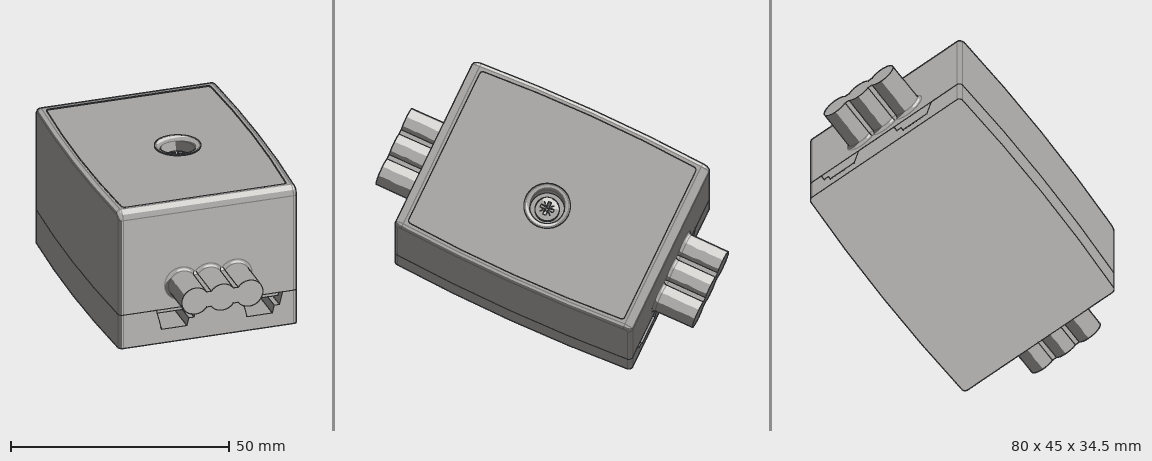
import cadquery as cq
import math

body_length = 60.0
body_height = 34.5
body_width = 45.0
side_bulge = 1.0
split_z = 8.5
end_edge_radius = 2.0
side_edge_radius = 1.0

panel_depth = 0.25
panel_end_margin = 2.7
panel_side_margin = 1.7
panel_corner_radius = 0.8

screw_y = 2.75
rim_diameter = 10.67
well_diameter = 8.0
well_lip_radius = 1.0
well_depth = 3.7
well_floor_z = body_height - well_depth

head_diameter = 5.6
head_rim_height = 0.8
head_dome_height = 0.8
head_top_z = well_floor_z + head_rim_height + head_dome_height
dome_radius = ((head_diameter / 2) ** 2 + head_dome_height**2) / (2 * head_dome_height)
shank_diameter = 3.0
shank_tip_z = 3.5
cross_span = 3.75
cross_floor_span = 0.6
cross_arm_width = 0.75
cross_depth = 1.6
tick_inner_radius = 1.05
tick_outer_radius = 1.7
tick_width = 0.06
tick_depth = 0.15

overall_length = 80.0
cable_diameter = 6.75
cable_pitch = 6.5
cable_z = 14.5
cable_web_width = 2.6
cable_web_height = 4.0
cable_taper = 0.08
cable_root_radius = 0.7
stub_length = (overall_length - body_length) / 2

channel_floor_z = 3.5
channel_step_z = 5.4
channel_step_width = 1.25
channel_top_y = (7.35, 17.95)
channel_pitch = 20.65
channel_offsets = (0.0, -channel_pitch)
channel_narrowing = 0.75
wall_slope = 0.25

tongue_bottom_z = 6.75
tongue_inset = 2.0
pin_y = (10.4, 14.0)
pin_diameter = 0.3
pin_collar_diameter = 0.9
pin_collar_height = 0.45
pin_tip_z = 4.9


def bulged_outline(length, width, bulge):
    """Rectangle whose two long sides are bowed outward."""
    x = length / 2
    crown = width / 2
    corner = crown - bulge
    return (
        cq.Workplane("XY")
        .moveTo(-x, -corner)
        .threePointArc((0, -crown), (x, -corner))
        .lineTo(x, corner)
        .threePointArc((0, crown), (-x, corner))
        .close()
    )


def box_between(x_range, y_range, z_range):
    """Box spanning the given (low, high) ranges."""
    ranges = (x_range, y_range, z_range)
    sizes = [high - low for low, high in ranges]
    corner = [low for low, high in ranges]
    return cq.Workplane("XY").box(*sizes, centered=False).translate(tuple(corner))


def build_enclosure_block():
    """Outer form shared by the base and the cover."""
    block = bulged_outline(body_length, body_width, side_bulge).extrude(body_height)
    block = block.faces(">Z").edges("|Y").fillet(end_edge_radius)
    side_edges = block.edges("not(|Y)").edges("not(<Z)")
    return side_edges.fillet(side_edge_radius)


def build_channel(offset_y):
    """Stepped channel, tapering slightly in plan toward +X."""

    def profile(narrowing):
        low_y = channel_top_y[0] + offset_y
        high_y = channel_top_y[1] + offset_y
        floor_lean = wall_slope * (split_z - channel_floor_z)
        step_lean = wall_slope * (split_z - channel_step_z)
        return [
            (low_y + narrowing, split_z),
            (high_y, split_z),
            (high_y - step_lean, channel_step_z),
            (high_y - step_lean - channel_step_width, channel_step_z),
            (high_y - floor_lean - channel_step_width, channel_floor_z),
            (low_y + floor_lean + narrowing, channel_floor_z),
        ]

    return (
        cq.Workplane("YZ", origin=(-body_length / 2, 0, 0))
        .polyline(profile(0))
        .close()
        .workplane(offset=body_length)
        .polyline(profile(channel_narrowing))
        .close()
        .loft(ruled=True)
    )


def build_panel_recess():
    """Slab removed from the top face, leaving the rim around the screw well."""
    slab = (
        bulged_outline(
            body_length - 2 * panel_end_margin, body_width - 2 * panel_side_margin, side_bulge
        )
        .extrude(panel_depth)
        .edges("|Z")
        .fillet(panel_corner_radius)
    )
    rim = cq.Workplane("XY").center(0, screw_y).circle(rim_diameter / 2).extrude(panel_depth)
    return slab.cut(rim).translate((0, 0, body_height - panel_depth))


def build_well():
    """Screw well with a rounded mouth, as a tool body to remove."""
    radius = well_diameter / 2
    mouth_radius = radius + well_lip_radius
    lip_bottom = body_height - well_lip_radius
    diagonal = well_lip_radius * math.sqrt(0.5)
    return (
        cq.Workplane("XZ")
        .moveTo(0, well_floor_z)
        .lineTo(radius, well_floor_z)
        .lineTo(radius, lip_bottom)
        .threePointArc(
            (mouth_radius - diagonal, lip_bottom + diagonal), (mouth_radius, body_height)
        )
        .lineTo(0, body_height)
        .close()
        .revolve(360, (0, 0, 0), (0, 1, 0))
        .translate((0, screw_y, 0))
    )


def build_cable_stub():
    """Three joined cables pointing along +X, flared where they leave the cover."""
    radius = cable_diameter / 2
    flare_radius = radius + cable_root_radius
    diagonal = cable_root_radius * math.sqrt(0.5)
    cable = (
        cq.Workplane("XY")
        .lineTo(0, flare_radius)
        .threePointArc(
            (cable_root_radius - diagonal, flare_radius - diagonal), (cable_root_radius, radius)
        )
        .lineTo(stub_length, radius - cable_taper)
        .lineTo(stub_length, 0)
        .close()
        .revolve(360, (0, 0, 0), (1, 0, 0))
    )
    web_top = cable_web_height / 2
    web_flare = web_top + cable_root_radius
    web = (
        cq.Workplane("XZ")
        .moveTo(0, -web_flare)
        .threePointArc(
            (cable_root_radius - diagonal, -web_flare + diagonal), (cable_root_radius, -web_top)
        )
        .lineTo(stub_length, -web_top + cable_taper)
        .lineTo(stub_length, web_top - cable_taper)
        .lineTo(cable_root_radius, web_top)
        .threePointArc((cable_root_radius - diagonal, web_flare - diagonal), (0, web_flare))
        .close()
        .extrude(cable_web_width / 2, both=True)
    )
    stub = cable
    for side in (-1, 1):
        stub = stub.union(cable.translate((0, side * cable_pitch, 0)))
        stub = stub.union(web.translate((0, side * cable_pitch / 2, 0)))
    return stub.translate((body_length / 2, 0, cable_z))


def build_pin(y):
    """Terminal pin with a collar, hanging from a tongue."""
    collar_bottom_z = tongue_bottom_z - pin_collar_height
    return (
        cq.Workplane("XZ")
        .moveTo(0, tongue_bottom_z)
        .lineTo(pin_collar_diameter / 2, tongue_bottom_z)
        .lineTo(pin_collar_diameter / 2, collar_bottom_z)
        .lineTo(pin_diameter / 2, collar_bottom_z)
        .lineTo(pin_diameter / 2, pin_tip_z)
        .lineTo(0, pin_tip_z)
        .close()
        .revolve(360, (0, 0, 0), (0, 1, 0))
        .translate((0, y, 0))
    )


def build_screw_blank():
    """Domed head with its shank, before the driver recess is cut."""
    ball = cq.Workplane("XY").sphere(dome_radius).translate((0, 0, head_top_z - dome_radius))
    head_column = (
        cq.Workplane("XY", origin=(0, 0, well_floor_z))
        .circle(head_diameter / 2)
        .extrude(head_diameter)
    )
    shank = (
        cq.Workplane("XY", origin=(0, 0, shank_tip_z))
        .circle(shank_diameter / 2)
        .extrude(well_floor_z - shank_tip_z)
    )
    return ball.intersect(head_column).union(shank).translate((0, screw_y, 0))


def build_driver_recess():
    """Tapered cross with four shallow diagonal tick marks."""
    arm = (
        cq.Workplane("XZ")
        .polyline(
            [
                (-cross_floor_span / 2, head_top_z - cross_depth),
                (cross_floor_span / 2, head_top_z - cross_depth),
                (cross_span / 2, head_top_z),
                (-cross_span / 2, head_top_z),
            ]
        )
        .close()
        .extrude(cross_arm_width / 2, both=True)
    )
    recess = arm.union(arm.rotate((0, 0, 0), (0, 0, 1), 90))

    def tick_floor(radius):
        """Height that follows the fall of the dome."""
        return head_top_z - dome_radius + math.sqrt(dome_radius**2 - radius**2) - tick_depth

    tick = (
        cq.Workplane("XZ")
        .polyline(
            [
                (tick_inner_radius, tick_floor(tick_inner_radius)),
                (tick_outer_radius, tick_floor(tick_outer_radius)),
                (tick_outer_radius, head_top_z),
                (tick_inner_radius, head_top_z),
            ]
        )
        .close()
        .extrude(tick_width / 2, both=True)
    )
    for angle in (45, 135, 225, 315):
        recess = recess.union(tick.rotate((0, 0, 0), (0, 0, 1), angle))
    return recess.translate((0, screw_y, 0))


block = build_enclosure_block()
screw_blank = build_screw_blank()
all_x = (-body_length, body_length)
all_y = (-body_width, body_width)

base = block.intersect(box_between(all_x, all_y, (0, split_z)))
for offset in channel_offsets:
    base = base.cut(build_channel(offset))
base = base.cut(screw_blank)

cover = block.intersect(box_between(all_x, all_y, (split_z, body_height)))
cover = cover.cut(build_panel_recess()).cut(build_well()).cut(screw_blank)
cable_stub = build_cable_stub()
for turn in (0, 180):
    cover = cover.union(cable_stub.rotate((0, 0, 0), (0, 0, 1), turn))
tongue_end_x = body_length / 2 - tongue_inset
tongue_zone = box_between((-tongue_end_x, tongue_end_x), all_y, (tongue_bottom_z, split_z))
for offset in channel_offsets:
    cover = cover.union(build_channel(offset).intersect(tongue_zone))
    for y in pin_y:
        cover = cover.union(build_pin(y + offset))

screw = screw_blank.cut(build_driver_recess())

result = cq.Compound.makeCompound([base.val(), cover.val(), screw.val()])